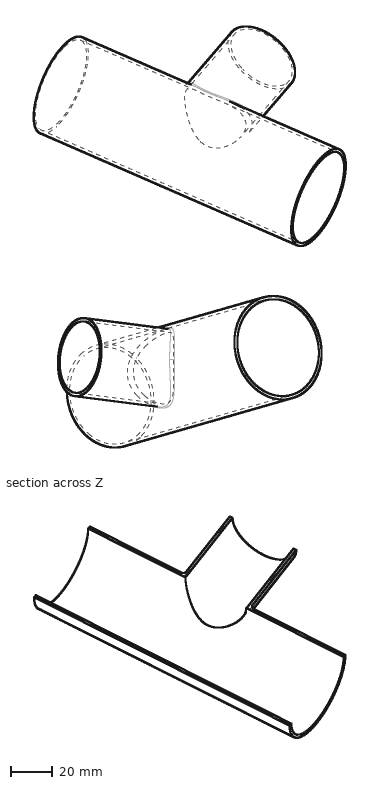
import cadquery as cq

run_length = 146.0
run_outer_diameter = 50.8
run_inner_diameter = 47.5
branch_outer_diameter = 38.1
branch_inner_diameter = 34.8
overall_depth = 92.0
weld_radius = 1.6

branch_reach = overall_depth - run_outer_diameter / 2


def run_cylinder(diameter):
    """Full-length cylinder along X, centred on the origin."""
    return cq.Workplane("YZ").circle(diameter / 2).extrude(run_length / 2, both=True)


def branch_cylinder(diameter):
    """Cylinder from the run axis to the branch end, along +Y."""
    return cq.Workplane("XZ").circle(diameter / 2).extrude(-branch_reach)


saddle_box = cq.selectors.BoxSelector(
    (-branch_outer_diameter, 0, -run_outer_diameter),
    (branch_outer_diameter, run_outer_diameter / 2 + weld_radius, run_outer_diameter),
)
outer_body = run_cylinder(run_outer_diameter).union(branch_cylinder(branch_outer_diameter))
outer_body = outer_body.edges(saddle_box).fillet(weld_radius)

result = outer_body.cut(run_cylinder(run_inner_diameter)).cut(branch_cylinder(branch_inner_diameter))